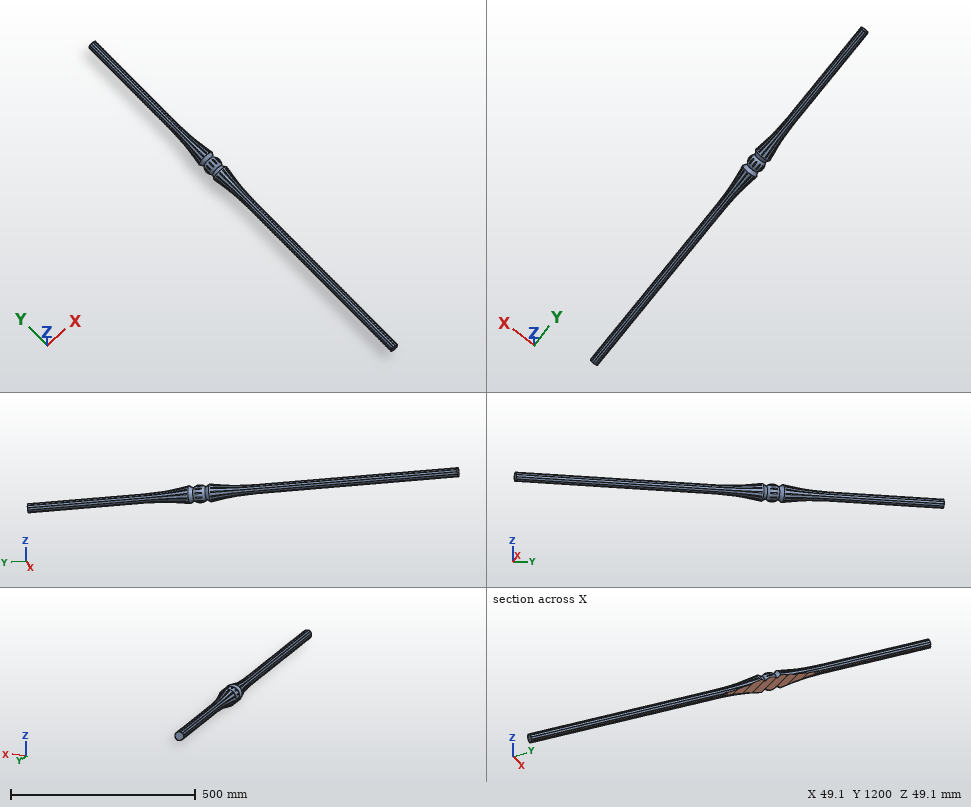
import cadquery as cq
import math

BAR_LENGTH = 1200.0
BAR_RADIUS = 12.5

KNUCKLE_Y = 120.0
KNUCKLE_RADIUS = 24.565
NECK_RADIUS = 17.5
RIM_DISTANCE = 29.0
TAPER_LENGTH = 127.0

GROOVE_COUNT = 12
BAR_GROOVE_RADIUS = 0.35
KNUCKLE_GROOVE_RADIUS = 1.85
PLAIN_RIM = 4.5
TAPER_STATIONS = 4

NECK_DISTANCE = math.sqrt(KNUCKLE_RADIUS ** 2 - NECK_RADIUS ** 2)
TAPER_END = RIM_DISTANCE + TAPER_LENGTH
UPPER_END = BAR_LENGTH / 2 - KNUCKLE_Y
LOWER_END = BAR_LENGTH / 2 + KNUCKLE_Y

FLARE_RISE = KNUCKLE_RADIUS - BAR_RADIUS
FLARE_RADIUS = (TAPER_LENGTH ** 2 + FLARE_RISE ** 2) / (2 * FLARE_RISE)


def taper_radius(distance):
    """Radius of the taper at a distance from the bead middle."""
    along = TAPER_END - distance
    return BAR_RADIUS + FLARE_RADIUS - math.sqrt(FLARE_RADIUS ** 2 - along ** 2)


def groove_radius(land_radius):
    """Radius of the round groove where the lands have the given radius."""
    share = (land_radius - BAR_RADIUS) / FLARE_RISE
    return BAR_GROOVE_RADIUS + share * (KNUCKLE_GROOVE_RADIUS - BAR_GROOVE_RADIUS)


def turned_body():
    """Ungrooved round bar with its bead middle at the origin."""
    flare_middle = RIM_DISTANCE + TAPER_LENGTH / 2
    flare_radius = taper_radius(flare_middle)
    profile = (
        cq.Workplane("XY")
        .moveTo(0, -LOWER_END)
        .lineTo(BAR_RADIUS, -LOWER_END)
        .lineTo(BAR_RADIUS, -TAPER_END)
        .threePointArc((flare_radius, -flare_middle), (KNUCKLE_RADIUS, -RIM_DISTANCE))
        .lineTo(NECK_RADIUS, -NECK_DISTANCE)
        .threePointArc((KNUCKLE_RADIUS, 0), (NECK_RADIUS, NECK_DISTANCE))
        .lineTo(KNUCKLE_RADIUS, RIM_DISTANCE)
        .threePointArc((flare_radius, flare_middle), (BAR_RADIUS, TAPER_END))
        .lineTo(BAR_RADIUS, UPPER_END)
        .lineTo(0, UPPER_END)
        .close()
    )
    return profile.revolve(360, (0, 0, 0), (0, 1, 0))


def groove_cutter(stations, ruled):
    """Round cutter through (land radius, distance) stations, with its axis on the land surface."""
    wires = []
    for land_radius, distance in stations:
        centre = cq.Vector(0, distance, land_radius)
        wires.append(cq.Wire.makeCircle(groove_radius(land_radius), centre, cq.Vector(0, 1, 0)))
    return cq.Workplane(cq.Solid.makeLoft(wires, ruled))


def groove_cutters():
    """Cutters of the groove on top of the bar, one for each stretch of its length."""
    start = RIM_DISTANCE + PLAIN_RIM
    step = (TAPER_END - start) / (TAPER_STATIONS - 1)
    distances = [start + i * step for i in range(TAPER_STATIONS)]
    cutters = [groove_cutter([(KNUCKLE_RADIUS, -NECK_DISTANCE), (KNUCKLE_RADIUS, NECK_DISTANCE)], True)]
    for side, bar_end in ((1, UPPER_END), (-1, LOWER_END)):
        cutters.append(groove_cutter([(taper_radius(d), side * d) for d in distances], False))
        cutters.append(groove_cutter([(BAR_RADIUS, side * TAPER_END), (BAR_RADIUS, side * bar_end)], True))
    return cutters


def cut_reeding(body):
    """Cut the ring of grooves, with a land in the middle of the top."""
    pitch = 360 / GROOVE_COUNT
    for cutter in groove_cutters():
        for i in range(GROOVE_COUNT):
            body = body.cut(cutter.rotate((0, 0, 0), (0, 1, 0), (i + 0.5) * pitch))
    return body


result = cut_reeding(turned_body()).translate((0, KNUCKLE_Y, 0))